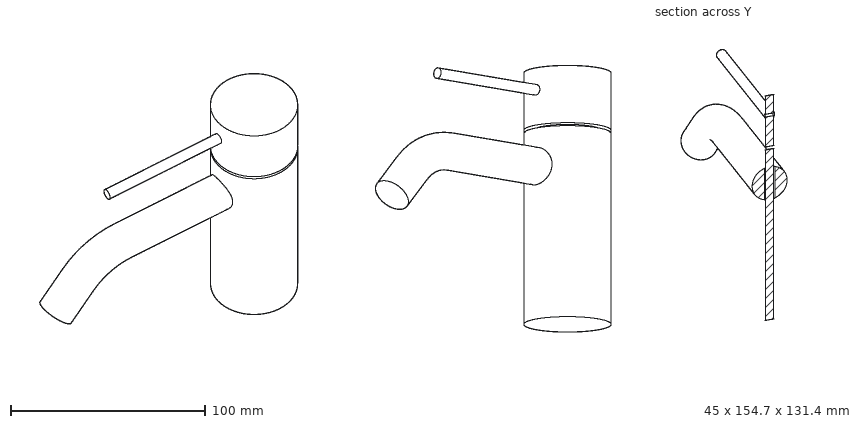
import cadquery as cq
import math

column_diameter = 45.0
column_radius = column_diameter / 2
body_height = 99.9
collar_diameter = 35.0
collar_height = 1.5
cap_height = 30.0
cap_base = body_height + collar_height
cap_top = cap_base + cap_height

lever_diameter = 5.5
lever_reach = 70.0
lever_drop = 11.6
lever_axis_height = cap_top - lever_drop

overall_depth = 154.7
spout_diameter = 19.5
spout_radius = spout_diameter / 2
spout_drop = 20.0
spout_axis_height = body_height - spout_drop
bend_start = 83.4
bend_radius = 36.8
bend_degrees = 48.0
bend_angle = math.radians(bend_degrees)
bend_end = bend_start + bend_radius * math.sin(bend_angle)
spout_reach = overall_depth - column_radius
tip_center = spout_reach - spout_radius * math.sin(bend_angle)
tip_length = (tip_center - bend_end) / math.cos(bend_angle)


def upright_cylinder(diameter, height, base):
    return cq.Workplane("XY").workplane(offset=base).circle(diameter / 2).extrude(height)


def bar_toward_front(diameter, length, axis_height):
    """Round bar from the column axis toward -Y."""
    return cq.Workplane("XZ").center(0, axis_height).circle(diameter / 2).extrude(length)


def make_lever(cap):
    """Rod whose inner end is shaped to the cap's side."""
    rod = bar_toward_front(lever_diameter, column_radius + lever_reach, lever_axis_height)
    return rod.cut(cap)


def make_spout(body):
    """Bent bar swept along its axis, with its inner end shaped to the body's side."""
    def point_on_bend(angle):
        return (
            -bend_start - bend_radius * math.sin(angle),
            spout_axis_height - bend_radius * (1 - math.cos(angle)),
        )

    bend_end_point = point_on_bend(bend_angle)
    tip_point = (
        bend_end_point[0] - tip_length * math.cos(bend_angle),
        bend_end_point[1] - tip_length * math.sin(bend_angle),
    )
    axis = (
        cq.Workplane("YZ")
        .moveTo(0, spout_axis_height)
        .lineTo(-bend_start, spout_axis_height)
        .threePointArc(point_on_bend(bend_angle / 2), bend_end_point)
        .lineTo(*tip_point)
    )
    bar = cq.Workplane("XZ").center(0, spout_axis_height).circle(spout_radius).sweep(axis)
    return bar.cut(body)


body = upright_cylinder(column_diameter, body_height, 0)
collar = upright_cylinder(collar_diameter, collar_height, body_height)
cap = upright_cylinder(column_diameter, cap_height, cap_base)
lever = make_lever(cap)
spout = make_spout(body)

result = cq.Compound.makeCompound([
    body.val(),
    collar.val(),
    cap.val(),
    lever.solids().val(),
    spout.solids().val(),
])